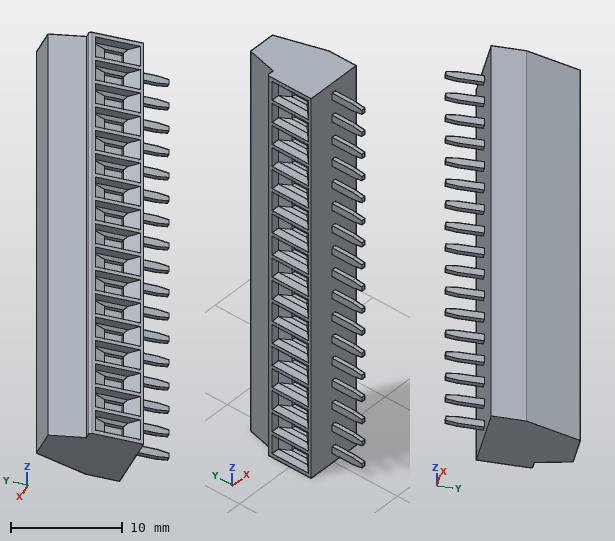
import cadquery as cq
body_height = 43.65
contact_count = 17
end_wall = 0.45

body_width = 6.2
body_depth = 8.5
ridge_left = 1.6
ridge_right = 4.63
ledge_width = 0.8
ledge_y = 5.15
ledge_round = 0.2
lean_start_y = 3.25

mouth_height = 2.15
mouth_near_y = 0.3
mouth_far_y = 4.6
mouth_depth = 0.87
funnel_depth = 0.3
throat_height = 1.53
throat_shift = 0.05
throat_near_y = 1.5
throat_far_y = 3.27
throat_depth = 0.4
throat_start_x = mouth_depth + funnel_depth

first_contact_z = end_wall + mouth_height / 2
contact_pitch = (body_height - 2 * first_contact_z) / (contact_count - 1)

pin_length = 3.5
pin_thickness = 0.45
pin_width = 0.8
tip_length = 1.1
tip_width = 0.5
pin_root = 0.45


def make_body():
    corners = [
        (0, 0),
        (body_width, 0),
        (body_width, lean_start_y),
        (ridge_right, body_depth),
        (ridge_left, body_depth),
        (ledge_width, ledge_y),
        (ledge_round, ledge_y),
    ]
    outline = cq.Workplane("XY").polyline(corners)
    outline = outline.tangentArcPoint((0, ledge_y - ledge_round), relative=False)
    return outline.close().extrude(body_height)


def make_entry(z):
    near_slope = (throat_near_y - mouth_near_y) / throat_start_x
    mouth_floor_near_y = mouth_near_y + near_slope * mouth_depth

    mouth_outline = [
        (0, mouth_near_y),
        (mouth_depth, mouth_floor_near_y),
        (mouth_depth, mouth_far_y),
        (0, mouth_far_y),
    ]
    mouth_bottom = cq.Workplane("XY", origin=(0, 0, z - mouth_height / 2))
    mouth = mouth_bottom.polyline(mouth_outline).close().extrude(mouth_height)

    mouth_floor_middle_y = (mouth_floor_near_y + mouth_far_y) / 2
    throat_middle_y = (throat_near_y + throat_far_y) / 2
    throat_width = throat_far_y - throat_near_y
    funnel = (
        cq.Workplane("YZ", origin=(mouth_depth, mouth_floor_middle_y, z))
        .rect(mouth_far_y - mouth_floor_near_y, mouth_height)
        .workplane(offset=funnel_depth)
        .center(throat_middle_y - mouth_floor_middle_y, throat_shift)
        .rect(throat_width, throat_height)
        .loft(ruled=True)
    )

    throat_start = cq.Workplane("YZ", origin=(throat_start_x, throat_middle_y, z + throat_shift))
    throat = throat_start.rect(throat_width, throat_height).extrude(throat_depth)
    return mouth.union(funnel).union(throat)


def make_pin(z):
    shoulder_y = tip_length - pin_length
    outline = [
        (pin_root, -pin_width / 2),
        (pin_root, pin_width / 2),
        (shoulder_y, pin_width / 2),
        (-pin_length, tip_width / 2),
        (-pin_length, -tip_width / 2),
        (shoulder_y, -pin_width / 2),
    ]
    pin_x = (body_width - pin_thickness) / 2
    return cq.Workplane("YZ", origin=(pin_x, 0, z)).polyline(outline).close().extrude(pin_thickness)


result = make_body()
for index in range(contact_count):
    contact_z = first_contact_z + index * contact_pitch
    result = result.cut(make_entry(contact_z)).union(make_pin(contact_z))